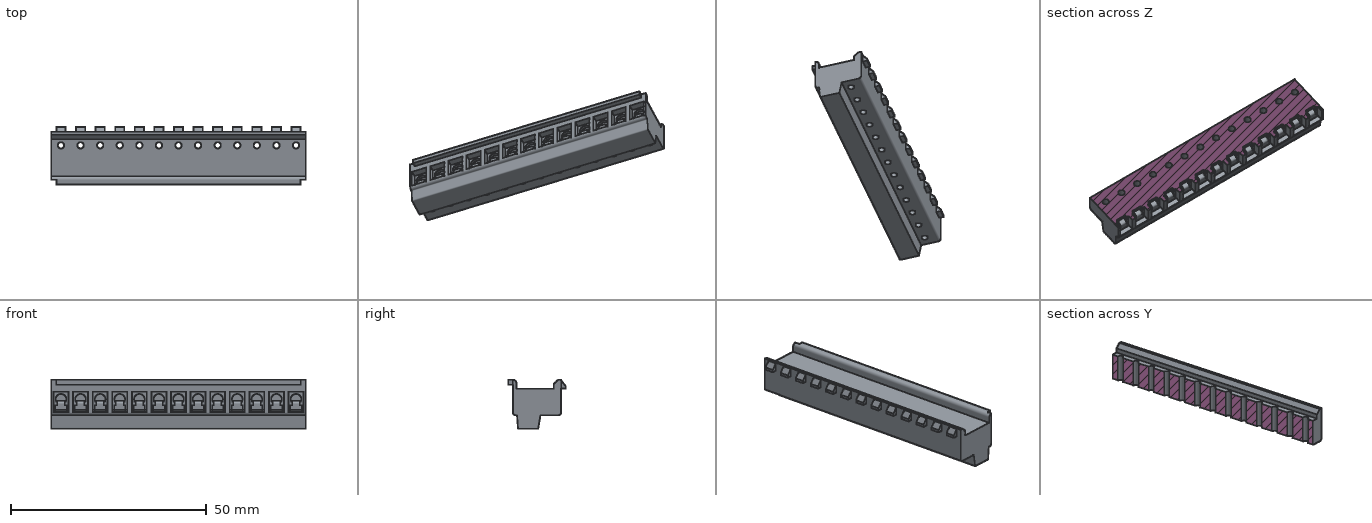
import cadquery as cq
import math

length = 65
pole_count = 13
pitch = length / pole_count
pole_xs = [(i - (pole_count - 1) / 2) * pitch for i in range(pole_count)]

height = 12.55
body_depth = 12.35
back_y = body_depth / 2
front_y = -back_y
deck_z = 10.3
body_bottom_z = 3.45
body_corner_radius = 0.8

rear_rib_width = 1.95
rear_rib_top_width = 0.8
rear_rib_bevel_height = 1.1
front_rib_width = 1.0

leg_rear_top_y = 0.9
leg_rear_bottom_y = 0.3
leg_front_top_y = -5.15
leg_front_bottom_y = -4.9
leg_corner_radius = 0.3
leg_root_radius = 0.2

overhang = 1.2
lug_width = 2.4
lug_tip_z = 10.9
lug_root_z = 12.35
lip_height = 1.3
lip_length = (pole_count - 1) * pitch + lug_width

pin_diameter = 1.55
pin_y = 2.65

entry_width = 3.9
entry_bottom_z = 4.2
entry_top_z = 9.5
entry_depth = 1.6
entry_side_narrowing = 0.1
entry_floor_rise = 0.2

groove_depth = 0.2
groove_top_z = 4.8

mouth_radius = 1.35
mouth_center_z = 7.55
mouth_bottom_z = 6.9
mouth_depth = 0.7

clamp_protrusion = 0.5
clamp_foot_width = 2.85
clamp_shelf_z = 6.0
clamp_undercut = 0.4
clamp_neck_width = 1.95
clamp_edge_z = 6.75
clamp_back_z = 7.2
clamp_edge_radius = 0.5

wall_y = front_y + entry_depth
groove_y = wall_y + groove_depth
mouth_y = wall_y + mouth_depth
clamp_y = wall_y - clamp_protrusion


def along_x(outline, width, center_x=0):
    """Extrude a closed YZ sketch along X, centred on center_x."""
    return outline.extrude(width / 2, both=True).translate((center_x, 0, 0))


def box_between(width, y_range, z_range, center_x=0):
    """Box centred on center_x that spans the given Y and Z ranges."""
    size_y = y_range[1] - y_range[0]
    size_z = z_range[1] - z_range[0]
    box = cq.Workplane("XY").box(width, size_y, size_z, centered=(True, False, False))
    return box.translate((center_x, y_range[0], z_range[0]))


def make_body():
    """Housing with a rib along each long edge of the deck and a tapered leg below."""
    rear_rib_y = back_y - rear_rib_width
    front_rib_y = front_y + front_rib_width
    corner = body_corner_radius
    arc_reach = front_rib_width * math.sqrt(0.5)
    outline = (
        cq.Workplane("YZ")
        .moveTo(leg_rear_bottom_y, 0)
        .lineTo(leg_rear_top_y, body_bottom_z)
        .lineTo(back_y - corner, body_bottom_z)
        .radiusArc((back_y, body_bottom_z + corner), -corner)
        .lineTo(back_y, height)
        .lineTo(back_y - rear_rib_top_width, height)
        .lineTo(rear_rib_y, height - rear_rib_bevel_height)
        .lineTo(rear_rib_y, deck_z)
        .lineTo(front_rib_y, deck_z)
        .lineTo(front_rib_y, height - front_rib_width)
        .threePointArc(
            (front_y + arc_reach, height - front_rib_width + arc_reach),
            (front_y, height),
        )
        .lineTo(front_y, body_bottom_z + corner)
        .radiusArc((front_y + corner, body_bottom_z), -corner)
        .lineTo(leg_front_top_y, body_bottom_z)
        .lineTo(leg_front_bottom_y, 0)
        .close()
    )
    body = along_x(outline, length)
    leg_front_edge = cq.selectors.NearestToPointSelector((0, leg_front_bottom_y, 0))
    leg_front_root = cq.selectors.NearestToPointSelector((0, leg_front_top_y, body_bottom_z))
    body = body.edges(leg_front_edge).fillet(leg_corner_radius)
    return body.edges(leg_front_root).fillet(leg_root_radius)


def make_lug(x):
    """Wedge-shaped lug on the back face."""
    outline = cq.Workplane("YZ").polyline([
        (back_y - overhang / 2, deck_z),
        (back_y + overhang, deck_z),
        (back_y + overhang, lug_tip_z),
        (back_y, lug_root_z),
        (back_y - overhang / 2, lug_root_z),
    ]).close()
    return along_x(outline, lug_width, x)


def make_lip():
    """Bar along the top of the front face."""
    return box_between(lip_length, (front_y - overhang, front_y), (height - lip_height, height))


def make_pin_holes():
    """Row of pin holes through the full height."""
    points = [(x, pin_y) for x in pole_xs]
    return cq.Workplane("XY").pushPoints(points).circle(pin_diameter / 2).extrude(height)


def make_opening():
    """Drafted opening with a level top, and the groove that carries its floor under the back wall."""
    front_height = entry_top_z - entry_bottom_z
    back_height = front_height - entry_floor_rise
    drafted = (
        cq.Workplane("XZ", origin=(0, front_y, entry_top_z))
        .center(0, -front_height / 2)
        .rect(entry_width, front_height)
        .workplane(offset=front_y - groove_y)
        .center(0, entry_floor_rise / 2)
        .rect(entry_width - 2 * entry_side_narrowing, back_height)
        .loft(ruled=True)
    )
    wall = box_between(entry_width, (wall_y, groove_y), (groove_top_z, entry_top_z))
    return drafted.cut(wall)


def make_mouth():
    """Round recess in the back wall, with a flat lower side."""
    circle = (
        cq.Workplane("XZ", origin=(0, wall_y, mouth_center_z))
        .circle(mouth_radius)
        .extrude(-mouth_depth)
    )
    above_flat = box_between(
        2 * mouth_radius, (wall_y, mouth_y), (mouth_bottom_z, mouth_center_z + mouth_radius)
    )
    return circle.intersect(above_flat)


def make_clamp():
    """Wire clamp, reaching from the floor of the entry into the mouth."""
    foot = cq.Workplane("YZ").polyline([
        (clamp_y, groove_top_z),
        (clamp_y, clamp_shelf_z),
        (mouth_y, clamp_shelf_z),
        (mouth_y, entry_bottom_z),
        (clamp_y + clamp_undercut, entry_bottom_z),
    ]).close()
    neck_outline = cq.Workplane("YZ").polyline([
        (clamp_y, clamp_shelf_z),
        (clamp_y, clamp_edge_z),
        (mouth_y, clamp_back_z),
        (mouth_y, clamp_shelf_z),
    ]).close()
    neck = along_x(neck_outline, clamp_neck_width)
    front_edge = cq.selectors.NearestToPointSelector((0, clamp_y, clamp_edge_z))
    neck = neck.edges(front_edge).fillet(clamp_edge_radius)
    return along_x(foot, clamp_foot_width).union(neck)


def make_wire_entry():
    """Space to remove for the wire entry of one pole at X = 0."""
    return make_opening().union(make_mouth()).cut(make_clamp())


result = make_body().union(make_lip())
wire_entry = make_wire_entry()
for pole_x in pole_xs:
    result = result.union(make_lug(pole_x))
    result = result.cut(wire_entry.translate((pole_x, 0, 0)))
result = result.cut(make_pin_holes())